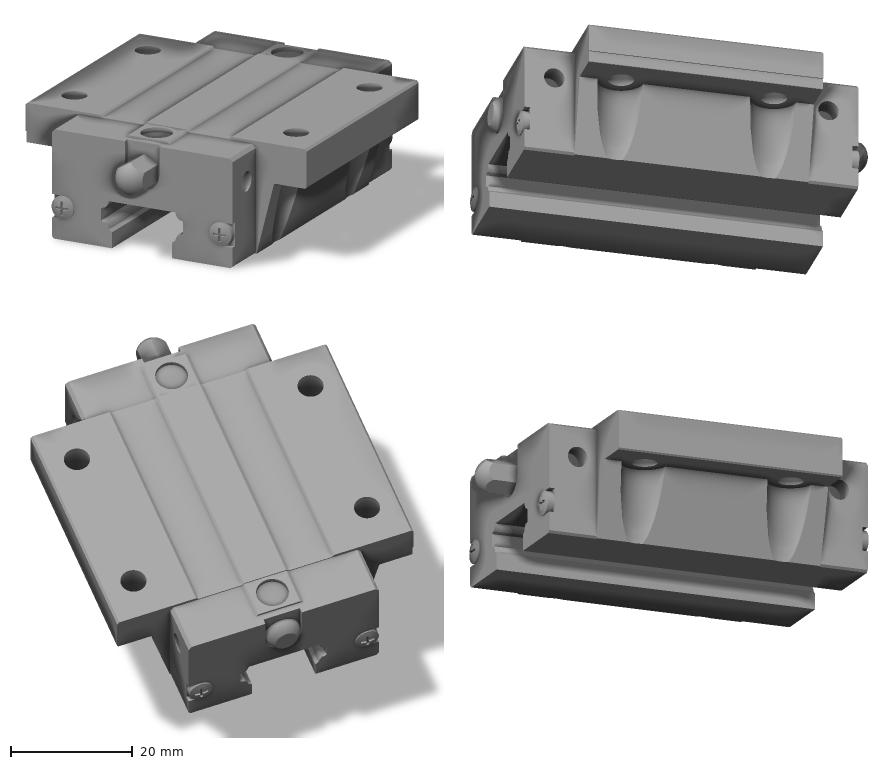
import cadquery as cq
import math


width = 52.0
height = 19.5
total_length = 64.0

block_length = 39.8
flange_thickness = 6.85
flange_edge_chamfer = 0.4
flange_foot_chamfer = 0.25
side_step_depth = 0.2
side_step_drop = 4.9
flank_top_half = 20.0
flank_foot_half = 16.75
pad_inner_half = 12.15
channel_depth = 0.4
channel_slope = 0.45

hole_pitch_x = 41.0
hole_pitch_y = 26.0
hole_diameter = 4.3
relief_diameter = 7.9

strip_half = 3.65
strip_slope = 0.5
cap_strip_drop = 0.2

end_half = 28.35
cap_joint = 26.4
cap_half_width = 16.7
cap_drop = 0.6
cap_top_chamfer = 0.6
cap_foot_chamfer = 0.4
oil_recess_y = 23.15
oil_recess_diameter = 5.4
oil_recess_depth = 0.75
side_hole_y = 23.3
side_hole_z = 13.55
side_hole_diameter = 3.45
side_hole_depth = 3.85

passage_roof_z = 8.05
passage_roof_half = 6.15
passage_wide_half = 7.55
passage_wide_top_z = 6.65
passage_wide_foot_z = 4.55
passage_foot_half = 5.55
passage_foot_z = 2.75
upper_ridge_middle = (6.4, 7.35)
upper_ridge_end = (6.8, 6.9)
lower_ridge_start = (6.15, 3.2)
lower_ridge_middle = (6.4, 3.85)
lower_ridge_end = (6.8, 4.35)
lower_valley = (7.0, 4.2)

port_z = 14.1
port_radius = 3.2
port_depth = 0.9
nipple_flats = 5.0
nipple_dome_radius = 3.0
nipple_reach = 34.35
plug_radius = 3.1
plug_shoulder = (2.8, 1.15)
plug_tip_radius = 1.9

screw_x = 14.6
screw_z = 5.6
screw_radius = 2.05
screw_seat_depth = 0.95
screw_rim_height = 1.15
screw_crown_height = 1.6
cross_length = 2.35
cross_width = 0.45
cross_depth = 0.5

half_width = width / 2
block_half = block_length / 2
flange_z = height - flange_thickness
cap_top_z = height - cap_drop
plug_height = total_length - nipple_reach - end_half + port_depth


def bar_along_y(outline, y_start, y_end):
    """Extrude a closed XZ outline from y_start to y_end."""
    return outline.extrude(y_start - y_end).translate((0, y_start, 0))


def strip(top_z, foot_z, y_start, y_end):
    """Centre strip with sloping sides."""
    foot_half = strip_half + strip_slope
    outline = (
        cq.Workplane("XZ")
        .moveTo(-foot_half, foot_z)
        .lineTo(-strip_half, top_z)
        .lineTo(strip_half, top_z)
        .lineTo(foot_half, foot_z)
        .close()
    )
    return bar_along_y(outline, y_start, y_end)


def make_block():
    """Flanged block with two channels along its top."""
    channel_z = height - channel_depth
    right_half = [
        (0, 0),
        (flank_foot_half, 0),
        (flank_top_half, flange_z),
        (half_width - flange_foot_chamfer, flange_z),
        (half_width, flange_z + flange_foot_chamfer),
        (half_width, height - flange_edge_chamfer),
        (half_width - flange_edge_chamfer, height),
        (pad_inner_half, height),
        (pad_inner_half - channel_slope, channel_z),
        (0, channel_z),
    ]
    outline = cq.Workplane("XZ").polyline(right_half).close()
    half_block = bar_along_y(outline, -block_half, block_half)
    block = half_block.union(half_block.mirror("YZ"))
    block = block.union(strip(height, channel_z, -block_half, block_half))
    step_height = flange_thickness - side_step_drop
    side_step = cq.Workplane("XY").box(
        side_step_depth, block_length, step_height, centered=(False, True, False)
    )
    return block.cut(side_step.translate((-half_width, 0, flange_z)))


def drill_mounting_holes(body):
    """Bolt holes through the flange, with head clearance below it."""
    grid = cq.Workplane("XY").rarray(hole_pitch_x, hole_pitch_y, 2, 2)
    holes = grid.circle(hole_diameter / 2).extrude(height)
    reliefs = grid.circle(relief_diameter / 2).extrude(flange_z)
    return body.cut(holes).cut(reliefs)


def make_plus_y_end():
    """End cap and end plate at the +Y end, with the port slot and the oil holes."""
    length = end_half - block_half
    end = (
        cq.Workplane("XY")
        .box(2 * cap_half_width, length, cap_top_z, centered=(True, False, False))
        .translate((0, block_half, 0))
    )
    end = end.edges("|Y and >Z").chamfer(cap_top_chamfer)
    end = end.edges("|Y and <Z").chamfer(cap_foot_chamfer)
    end = end.union(strip(height - cap_strip_drop, cap_top_z, block_half, cap_joint))

    oil_recess = (
        cq.Workplane("XY", origin=(0, oil_recess_y, height - cap_strip_drop))
        .circle(oil_recess_diameter / 2)
        .extrude(-oil_recess_depth)
    )
    end = end.cut(oil_recess)
    for side in (-1, 1):
        side_hole = (
            cq.Workplane("YZ", origin=(side * cap_half_width, side_hole_y, side_hole_z))
            .circle(side_hole_diameter / 2)
            .extrude(-side * side_hole_depth)
        )
        end = end.cut(side_hole)

    port_slot = (
        cq.Workplane("XZ", origin=(0, end_half, 0))
        .moveTo(-port_radius, cap_top_z)
        .lineTo(-port_radius, port_z)
        .threePointArc((0, port_z - port_radius), (port_radius, port_z))
        .lineTo(port_radius, cap_top_z)
        .close()
        .extrude(port_depth)
    )
    return end.cut(port_slot)


def make_screw(x):
    """Round-headed cross-recess screw on the +Y end plate."""
    seat_y = end_half - screw_seat_depth
    crown_rise = screw_crown_height - screw_rim_height
    crown_radius = (screw_radius**2 + crown_rise**2) / (2 * crown_rise)
    middle_x = screw_radius / 2
    middle_drop = crown_radius - math.sqrt(crown_radius**2 - middle_x**2)
    head = (
        cq.Workplane("XY")
        .lineTo(screw_radius, 0)
        .lineTo(screw_radius, screw_rim_height)
        .threePointArc((middle_x, screw_crown_height - middle_drop), (0, screw_crown_height))
        .close()
        .revolve(360, (0, 0, 0), (0, 1, 0))
    )
    for size in ((cross_length, cross_width), (cross_width, cross_length)):
        arm_top = cq.Workplane("XZ", origin=(0, screw_crown_height, 0))
        head = head.cut(arm_top.rect(*size).extrude(cross_depth))
    return head.translate((x, seat_y, screw_z))


def add_screws(end):
    """Seats that open to the sides of the end plate, each with its screw."""
    for side in (-1, 1):
        centre_x = side * screw_x
        seat_plane = cq.Workplane("XZ", origin=(centre_x, end_half, screw_z))
        round_seat = seat_plane.circle(screw_radius).extrude(screw_seat_depth)
        reach = cap_half_width - screw_x
        side_opening = (
            seat_plane.center(side * reach / 2, 0)
            .rect(reach, 2 * screw_radius)
            .extrude(screw_seat_depth)
        )
        end = end.cut(round_seat).cut(side_opening)
        end = end.union(make_screw(centre_x))
    return end


def make_rail_passage():
    """Opening for the rail, with rounded ridges above and below its widest part."""
    outline = (
        cq.Workplane("XZ")
        .lineTo(passage_foot_half, 0)
        .lineTo(passage_foot_half, passage_foot_z)
        .lineTo(*lower_ridge_start)
        .threePointArc(lower_ridge_middle, lower_ridge_end)
        .lineTo(*lower_valley)
        .lineTo(passage_wide_half, passage_wide_foot_z)
        .lineTo(passage_wide_half, passage_wide_top_z)
        .lineTo(*upper_ridge_end)
        .threePointArc(upper_ridge_middle, (passage_roof_half, passage_roof_z))
        .lineTo(0, passage_roof_z)
        .close()
    )
    half_passage = bar_along_y(outline, -end_half, end_half)
    return half_passage.union(half_passage.mirror("YZ"))


def make_nipple():
    """Hexagonal grease nipple with a domed tip."""
    corner_diameter = nipple_flats / math.cos(math.radians(30))
    root_y = port_depth - end_half
    dome_y = nipple_dome_radius - nipple_reach
    hexagon = (
        cq.Workplane("XZ", origin=(0, root_y, port_z))
        .transformed(rotate=(0, 0, 30))
        .polygon(6, corner_diameter)
        .extrude(nipple_reach + root_y)
    )
    envelope = (
        cq.Workplane("XZ", origin=(0, root_y, port_z))
        .circle(nipple_dome_radius)
        .extrude(root_y - dome_y)
        .union(cq.Workplane("XY").sphere(nipple_dome_radius).translate((0, dome_y, port_z)))
    )
    return hexagon.intersect(envelope)


def make_plug():
    """Round plug with a bulging side and a flat tip."""
    return (
        cq.Workplane("XY")
        .lineTo(plug_radius, 0)
        .threePointArc(plug_shoulder, (plug_tip_radius, plug_height))
        .lineTo(0, plug_height)
        .close()
        .revolve(360, (0, 0, 0), (0, 1, 0))
        .translate((0, end_half - port_depth, port_z))
    )


plus_y_end = add_screws(make_plus_y_end())
minus_y_end = plus_y_end.mirror("XZ")

body = drill_mounting_holes(make_block())
body = body.union(plus_y_end).union(minus_y_end)
body = body.cut(make_rail_passage())
result = body.union(make_nipple()).union(make_plug())